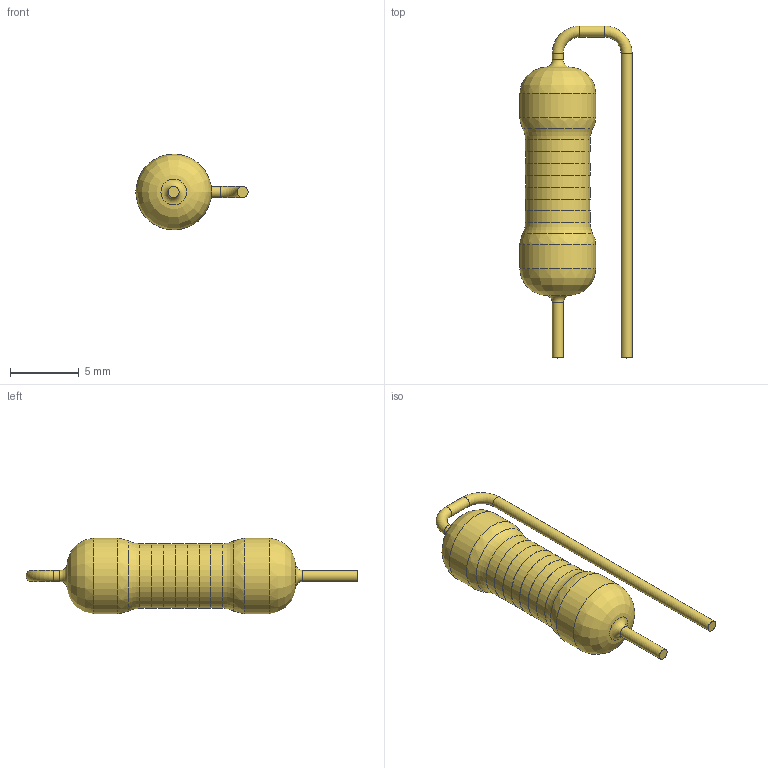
import math
import cadquery as cq


lead_diameter = 0.8
lead_pitch = 5.0
bend_radius = 1.6
overall_length = 24.1

cap_diameter = 5.5
band_diameter = 4.7
gap_diameter = 4.67
band_count = 4
waist_length = 6.04
shoulder_length = 1.6
cap_straight_length = 1.75
dome_radius = 1.9
neck_radius = 0.55
body_centre_y = 12.83

lead_radius = lead_diameter / 2
cap_radius = cap_diameter / 2
band_radius = band_diameter / 2
gap_radius = gap_diameter / 2

waist_end = waist_length / 2
shoulder_end = waist_end + shoulder_length
dome_start = shoulder_end + cap_straight_length

dome_centre_x = cap_radius - dome_radius
neck_centre_x = lead_radius + neck_radius
neck_offset_x = neck_centre_x - dome_centre_x
neck_offset_y = math.sqrt((dome_radius + neck_radius) ** 2 - neck_offset_x ** 2)
neck_end = dome_start + neck_offset_y
neck_angle = math.atan2(neck_offset_y, neck_offset_x)


def point_on_arc(centre_x, centre_y, radius, angle):
    return (centre_x + radius * math.cos(angle), centre_y + radius * math.sin(angle))


def shoulder_arc_point(end_radius, end_y, side):
    """Middle of the shoulder arc that leaves (end_radius, end_y) parallel to the axis.

    side is 1 for the arc at the waist and -1 for the arc at the cap.
    """
    arc_span = shoulder_length / 2
    arc_depth = (cap_radius - band_radius) / 2
    arc_radius = (arc_span ** 2 + arc_depth ** 2) / (2 * arc_depth)
    half_angle = math.asin(arc_span / arc_radius) / 2
    x = end_radius + side * arc_radius * (1 - math.cos(half_angle))
    y = end_y + side * arc_radius * math.sin(half_angle)
    return (x, y)


def make_body_end():
    """Shoulder, cap, dome and neck at the +Y end of a body centred on the origin."""
    shoulder_middle = ((band_radius + cap_radius) / 2, waist_end + shoulder_length / 2)
    dome_middle = point_on_arc(dome_centre_x, dome_start, dome_radius, neck_angle / 2)
    dome_tip = point_on_arc(dome_centre_x, dome_start, dome_radius, neck_angle)
    neck_contact_angle = neck_angle + math.pi
    neck_middle_angle = (neck_contact_angle + math.pi) / 2
    neck_middle = point_on_arc(neck_centre_x, neck_end, neck_radius, neck_middle_angle)
    return (
        cq.Workplane("XY")
        .moveTo(0, waist_end)
        .lineTo(band_radius, waist_end)
        .threePointArc(shoulder_arc_point(band_radius, waist_end, 1), shoulder_middle)
        .threePointArc(shoulder_arc_point(cap_radius, shoulder_end, -1), (cap_radius, shoulder_end))
        .lineTo(cap_radius, dome_start)
        .threePointArc(dome_middle, dome_tip)
        .threePointArc(neck_middle, (lead_radius, neck_end))
        .lineTo(0, neck_end)
        .close()
        .revolve(360, (0, 0, 0), (0, 1, 0))
    )


def make_waist():
    """Colour bands alternating with slightly thinner gaps, centred on the origin."""
    ring_count = 2 * band_count - 1
    ring_width = waist_length / ring_count
    waist = cq.Workplane("XY")
    for index in range(ring_count):
        ring_radius = band_radius if index % 2 == 0 else gap_radius
        ring_start = -waist_end + index * ring_width
        ring = cq.Workplane("XZ", origin=(0, ring_start, 0)).circle(ring_radius).extrude(-ring_width)
        waist = waist.union(ring)
    return waist


def make_body():
    body_end = make_body_end()
    body = make_waist().union(body_end).union(body_end.mirror("XZ"))
    return body.translate((0, body_centre_y, 0))


def make_straight_lead():
    lead_length = body_centre_y - neck_end
    return cq.Workplane("XZ").circle(lead_radius).extrude(-lead_length)


def make_bent_lead():
    """Lead that leaves the +Y end of the body and folds back beside it."""
    lead_start = body_centre_y + neck_end
    crossing_y = overall_length - lead_radius
    bend_start = crossing_y - bend_radius
    path = (
        cq.Workplane("XY")
        .moveTo(0, lead_start)
        .lineTo(0, bend_start)
        .radiusArc((bend_radius, crossing_y), bend_radius)
        .lineTo(lead_pitch - bend_radius, crossing_y)
        .radiusArc((lead_pitch, bend_start), bend_radius)
        .lineTo(lead_pitch, 0)
    )
    return cq.Workplane("XZ", origin=(0, lead_start, 0)).circle(lead_radius).sweep(path)


result = make_body().union(make_straight_lead()).union(make_bent_lead())